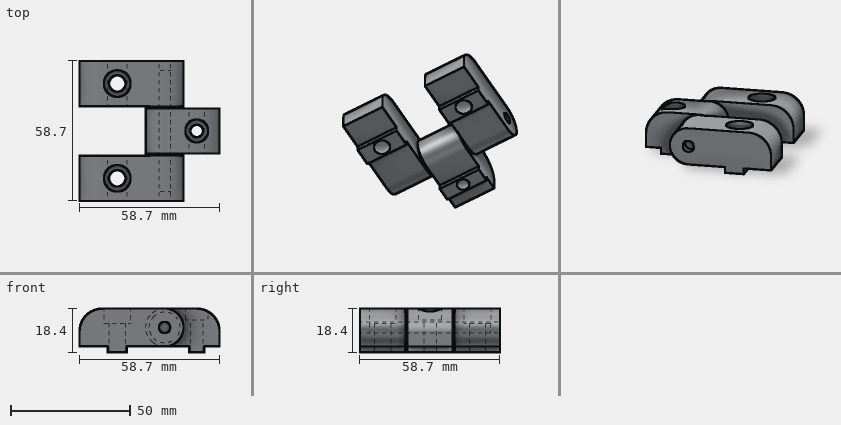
import cadquery as cq


leaf_width = 19.0
leaf_height = 15.9
knuckle_radius = leaf_height / 2
end_radius = 9.6
tab_height = 2.51

outer_reach = 35.65
outer_screw_distance = 19.8
outer_screw_diameter = 6.8
outer_counterbore_diameter = 11.2
outer_counterbore_depth = 6.3
outer_tab_length = 8.1

middle_reach = 23.05
middle_screw_distance = middle_reach - end_radius
middle_screw_diameter = 5.2
middle_counterbore_diameter = 9.6
middle_counterbore_depth = 4.9
middle_tab_length = 6.3

pin_diameter = 4.75
pin_recess = 4.0
washer_diameter = 12.9
overall_width = 58.67
washer_thickness = (overall_width - 3 * leaf_width) / 2

leaf_pitch = leaf_width + washer_thickness
washer_offset = (leaf_width + washer_thickness) / 2
pin_length = overall_width - 2 * pin_recess


def cylinder_along_y(diameter, length, y_center):
    """Cylinder on the hinge axis, centred at y_center."""
    return (
        cq.Workplane("XZ", origin=(0, y_center + length / 2, 0))
        .circle(diameter / 2)
        .extrude(length)
    )


def make_leaf(
    direction,
    y_center,
    reach,
    screw_distance,
    screw_diameter,
    counterbore_diameter,
    counterbore_depth,
    tab_length,
):
    """Leaf reaching toward -X (direction -1) or +X (direction +1) from its knuckle."""
    end_x = direction * reach
    arc_start_x = direction * (reach - end_radius)
    screw_x = direction * screw_distance
    arc_start_z = knuckle_radius - end_radius

    body = (
        cq.Workplane("XZ", origin=(0, y_center + leaf_width / 2, 0))
        .moveTo(0, knuckle_radius)
        .lineTo(arc_start_x, knuckle_radius)
        .radiusArc((end_x, arc_start_z), direction * end_radius)
        .lineTo(end_x, -knuckle_radius)
        .lineTo(0, -knuckle_radius)
        .threePointArc((-direction * knuckle_radius, 0), (0, knuckle_radius))
        .close()
        .extrude(leaf_width)
    )

    tab = (
        cq.Workplane("XY", origin=(screw_x, y_center, -knuckle_radius))
        .rect(tab_length, leaf_width)
        .extrude(-tab_height)
    )

    leaf = (
        body.union(tab)
        .copyWorkplane(cq.Workplane("XY", origin=(screw_x, y_center, knuckle_radius)))
        .cboreHole(screw_diameter, counterbore_diameter, counterbore_depth)
    )

    pin_hole = cylinder_along_y(pin_diameter, leaf_width, y_center)
    return leaf.cut(pin_hole)


def make_outer_leaf(side):
    return make_leaf(
        direction=-1,
        y_center=side * leaf_pitch,
        reach=outer_reach,
        screw_distance=outer_screw_distance,
        screw_diameter=outer_screw_diameter,
        counterbore_diameter=outer_counterbore_diameter,
        counterbore_depth=outer_counterbore_depth,
        tab_length=outer_tab_length,
    )


def make_middle_leaf():
    return make_leaf(
        direction=1,
        y_center=0,
        reach=middle_reach,
        screw_distance=middle_screw_distance,
        screw_diameter=middle_screw_diameter,
        counterbore_diameter=middle_counterbore_diameter,
        counterbore_depth=middle_counterbore_depth,
        tab_length=middle_tab_length,
    )


def make_washer(side):
    """Spacer ring filling the gap between the middle leaf and one outer leaf."""
    y_center = side * washer_offset
    ring = cylinder_along_y(washer_diameter, washer_thickness, y_center)
    return ring.cut(cylinder_along_y(pin_diameter, washer_thickness, y_center))


def make_pin():
    """Hinge pin, its ends sunk below the outer faces of the outer leaves."""
    return cylinder_along_y(pin_diameter, pin_length, 0)


sides = (-1, 1)
outer_leaves = [make_outer_leaf(side) for side in sides]
middle_leaf = make_middle_leaf()
washers = [make_washer(side) for side in sides]
pin = make_pin()

result = cq.Compound.makeCompound(
    [
        *[leaf.val() for leaf in outer_leaves],
        middle_leaf.val(),
        *[washer.val() for washer in washers],
        pin.val(),
    ]
)